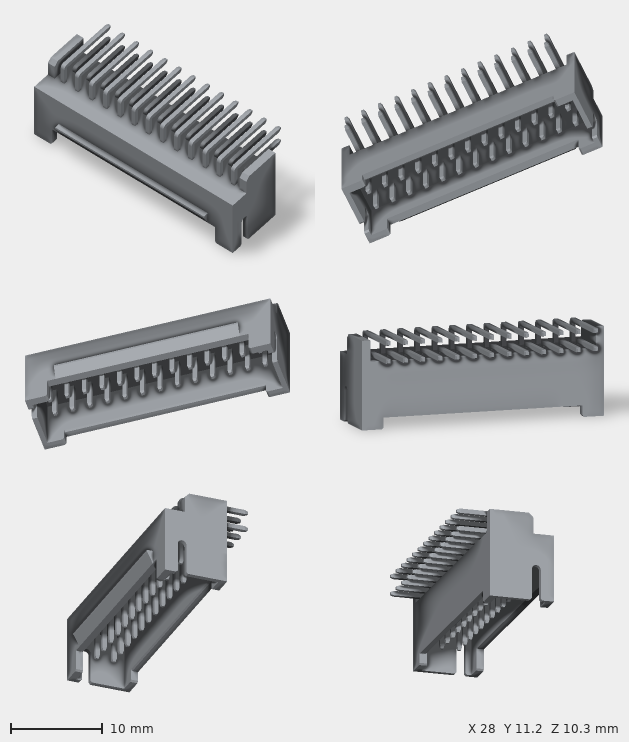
import cadquery as cq

HOUSING_LENGTH = 28.0
HOUSING_DEPTH = 7.35
HOUSING_HEIGHT = 7.6
LONG_WALL = 0.85
END_WALL = 0.6
ROOF_THICKNESS = 1.5
MOUTH_CHAMFER = 0.2
BACK_Y = HOUSING_DEPTH / 2
FRONT_Y = -HOUSING_DEPTH / 2

EAR_TOP = 9.95
EAR_THICKNESS = 0.95
EAR_DEPTH = 4.98
EAR_CHAMFER = 0.5

NOTCH_LENGTH = 23.02
FRONT_NOTCH_HEIGHT = 2.45
BACK_NOTCH_HEIGHT = 1.3
BACK_BEVEL = 0.17

SLOT_WIDTH = 1.0
SLOT_HEIGHT = 4.0
SLOT_FROM_BACK = 5.32
SLOT_Y = BACK_Y - SLOT_FROM_BACK

LATCH_LENGTH = 21.0
LATCH_REACH = 0.67
LATCH_LIP = 0.25

PINS_PER_ROW = 13
PIN_ROW_LENGTH = 24.0
PIN_PITCH = PIN_ROW_LENGTH / (PINS_PER_ROW - 1)
PIN_WIDTH = 0.5
PIN_TIP_WIDTH = 0.3
PIN_TIP_LENGTH = 0.35
PIN_TOP = 10.25
PIN_BOTTOM = 2.2
PIN_REACH = 3.2
PIN_END_Y = BACK_Y + PIN_REACH


def box(x_range, y_range, z_range):
    """Axis-aligned block between the given limits."""
    (x0, x1), (y0, y1), (z0, z1) = x_range, y_range, z_range
    return cq.Workplane("XY").box(x1 - x0, y1 - y0, z1 - z0, centered=False).translate((x0, y0, z0))


def extrude_along_x(outline, length):
    """Extrude a closed YZ outline by a length centred on X = 0."""
    return outline.extrude(length / 2, both=True)


def make_shell():
    """Block with end ears, hollowed out from below."""
    half_length = HOUSING_LENGTH / 2
    ear_front = BACK_Y - EAR_DEPTH
    profile = (
        cq.Workplane("YZ")
        .moveTo(BACK_Y, 0)
        .lineTo(BACK_Y, EAR_TOP)
        .lineTo(ear_front + EAR_CHAMFER, EAR_TOP)
        .lineTo(ear_front, EAR_TOP - EAR_CHAMFER)
        .lineTo(ear_front, HOUSING_HEIGHT)
        .lineTo(FRONT_Y, HOUSING_HEIGHT)
        .lineTo(FRONT_Y, 0)
        .close()
    )
    ear_inner_x = half_length - EAR_THICKNESS
    cavity_x = half_length - END_WALL
    between_ears = box((-ear_inner_x, ear_inner_x), (FRONT_Y, BACK_Y), (HOUSING_HEIGHT, EAR_TOP))
    cavity_y = HOUSING_DEPTH / 2 - LONG_WALL
    cavity_top = HOUSING_HEIGHT - ROOF_THICKNESS
    cavity = box((-cavity_x, cavity_x), (-cavity_y, cavity_y), (0, cavity_top))
    return extrude_along_x(profile, HOUSING_LENGTH).cut(between_ears).cut(cavity)


def flared_opening(plane, width, height):
    """Closed outline of an opening from Z = 0, flared by chamfers at its mouth."""
    half = width / 2
    mouth = half + MOUTH_CHAMFER
    return (
        cq.Workplane(plane)
        .moveTo(-mouth, 0)
        .lineTo(-half, MOUTH_CHAMFER)
        .lineTo(-half, height)
        .lineTo(half, height)
        .lineTo(half, MOUTH_CHAMFER)
        .lineTo(mouth, 0)
        .close()
    )


def make_wall_notch(middle_y, height):
    """Notch through the front or back wall whose mid-plane is at middle_y."""
    notch = flared_opening("XZ", NOTCH_LENGTH, height).extrude(LONG_WALL / 2, both=True)
    return notch.translate((0, middle_y, 0))


def make_back_edge_bevel():
    """Bevel along the inner lower edge of the notched back wall."""
    inner_y = BACK_Y - LONG_WALL
    outline = (
        cq.Workplane("YZ")
        .moveTo(inner_y, BACK_NOTCH_HEIGHT)
        .lineTo(inner_y + BACK_BEVEL, BACK_NOTCH_HEIGHT)
        .lineTo(inner_y, BACK_NOTCH_HEIGHT + BACK_BEVEL)
        .close()
    )
    return extrude_along_x(outline, NOTCH_LENGTH)


def make_end_slots():
    """Round-topped slots through both end walls."""
    radius = SLOT_WIDTH / 2
    straight = flared_opening("YZ", SLOT_WIDTH, SLOT_HEIGHT - radius)
    round_top = cq.Workplane("YZ").center(0, SLOT_HEIGHT - radius).circle(radius)
    slots = extrude_along_x(straight, HOUSING_LENGTH)
    slots = slots.union(extrude_along_x(round_top, HOUSING_LENGTH))
    return slots.translate((0, SLOT_Y, 0))


def make_latch():
    """Ridge with a flat top, a narrow lip and a sloping underside."""
    tip_y = FRONT_Y - LATCH_REACH
    outline = (
        cq.Workplane("YZ")
        .moveTo(FRONT_Y, SLOT_HEIGHT)
        .lineTo(tip_y, SLOT_HEIGHT)
        .lineTo(tip_y, SLOT_HEIGHT - LATCH_LIP)
        .lineTo(FRONT_Y, FRONT_NOTCH_HEIGHT)
        .close()
    )
    return extrude_along_x(outline, LATCH_LENGTH)


def make_pin_tip():
    """Tapered tip pointing along +Z from Z = 0."""
    return (
        cq.Workplane("XY")
        .rect(PIN_WIDTH, PIN_WIDTH)
        .workplane(offset=PIN_TIP_LENGTH)
        .rect(PIN_TIP_WIDTH, PIN_TIP_WIDTH)
        .loft()
    )


def make_pin(leg_y, top_z):
    """Right-angle pin with a vertical leg at leg_y and a tail under top_z."""
    half = PIN_WIDTH / 2
    tail_end = PIN_END_Y - PIN_TIP_LENGTH
    leg_end = PIN_BOTTOM + PIN_TIP_LENGTH
    outline = (
        cq.Workplane("YZ")
        .moveTo(leg_y - half, leg_end)
        .lineTo(leg_y - half, top_z - PIN_WIDTH)
        .radiusArc((leg_y + half, top_z), PIN_WIDTH)
        .lineTo(tail_end, top_z)
        .lineTo(tail_end, top_z - PIN_WIDTH)
        .lineTo(leg_y + half, top_z - PIN_WIDTH)
        .lineTo(leg_y + half, leg_end)
        .close()
    )
    tail_tip = make_pin_tip().rotate((0, 0, 0), (1, 0, 0), -90).translate((0, tail_end, top_z - half))
    leg_tip = make_pin_tip().rotate((0, 0, 0), (1, 0, 0), 180).translate((0, leg_y, leg_end))
    return extrude_along_x(outline, PIN_WIDTH).union(tail_tip).union(leg_tip)


housing = (
    make_shell()
    .cut(make_wall_notch(FRONT_Y + LONG_WALL / 2, FRONT_NOTCH_HEIGHT))
    .cut(make_wall_notch(BACK_Y - LONG_WALL / 2, BACK_NOTCH_HEIGHT))
    .cut(make_back_edge_bevel())
    .cut(make_end_slots())
    .union(make_latch())
)

upper_pin = make_pin(-PIN_PITCH / 2, PIN_TOP)
lower_pin = make_pin(PIN_PITCH / 2, PIN_TOP - PIN_PITCH)

result = housing
for index in range(PINS_PER_ROW):
    pin_x = index * PIN_PITCH - PIN_ROW_LENGTH / 2
    result = result.union(upper_pin.translate((pin_x, 0, 0)))
    result = result.union(lower_pin.translate((pin_x, 0, 0)))